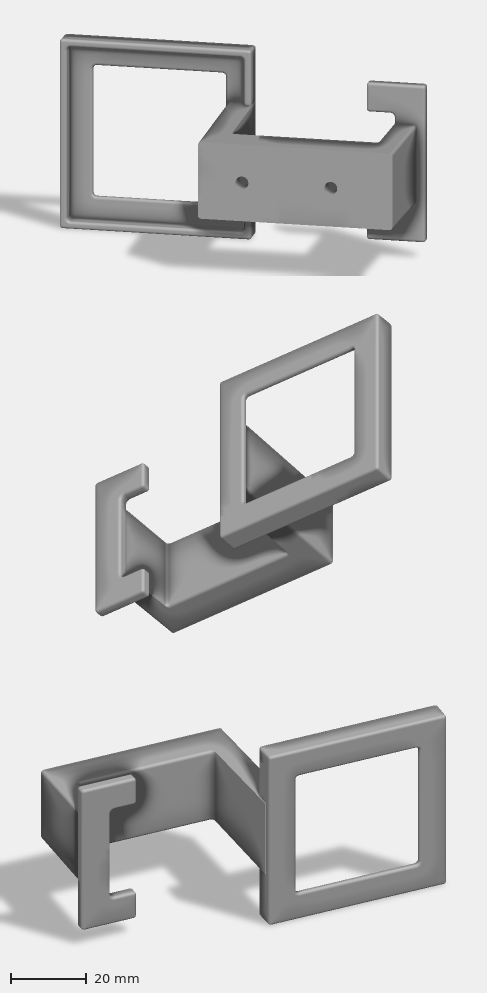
import cadquery as cq
import math

turn_angle = 14.0
edge_radius = 0.79

frame_side = 52.0
frame_depth = 6.7
frame_draft = 0.8
frame_front = 36.4
rim_wall = 2.0
recess_depth = 4.8
window_side = 36.0
opening_corner_radius = 1.1

base_depth = 10.3
arm_left_front = 45.8
arm_right_front = 98.5
pocket_left = 52.7
pocket_right = 92.7
left_draft = 1.0
right_draft = 0.4
arm_front_height = 21.0
height_draft = 0.5
arm_edge_radius = 0.8

plate_left = 85.1
plate_width = 16.0
plate_front = 28.1
plate_thickness = 3.2
plate_height = 43.0
notch_height = 27.1
notch_corner_radius = 1.3

hole_diameter = 3.5
hole_depth = 5.0
first_hole = 57.7
hole_spacing = 24.1
hole_count = 2

recess_floor = frame_front + recess_depth


def block(left, width, front, depth, height):
    """Box centred on z = 0, placed by its left and front faces."""
    box = cq.Workplane("XY").box(width, depth, height, centered=(False, False, True))
    return box.translate((left, front, 0))


def lean(length, angle):
    """Sideways shift over length of a face that leans by angle."""
    return length * math.tan(math.radians(angle))


def near(x, y):
    """Selector for the edges whose middle is close to the vertical line at x, y."""
    reach = 1.1
    return cq.selectors.BoxSelector((x - reach, y - reach, -frame_side), (x + reach, y + reach, frame_side))


def round_rim(body, left, width, front, depth, height):
    """Round the edges of a rectangular opening that lie between y = front and y = front + depth."""
    margin = 0.1
    rim = cq.selectors.BoxSelector(
        (left - margin, front - margin, -height / 2 - margin),
        (left + width + margin, front + depth + margin, height / 2 + margin),
    )
    return body.edges(rim).edges("not(|Y)").fillet(edge_radius)


def make_frame():
    """Square frame, narrowing to the back, with a front recess and a window in its floor."""
    recess_side = frame_side - 2 * rim_wall
    window_left = (frame_side - window_side) / 2
    window_depth = frame_depth - recess_depth
    front_face = cq.Workplane("XZ", origin=(frame_side / 2, frame_front, 0)).rect(frame_side, frame_side)
    body = front_face.extrude(-frame_depth, taper=frame_draft).edges().fillet(edge_radius)
    recess = block(rim_wall, recess_side, frame_front, recess_depth, recess_side)
    window = block(window_left, window_side, recess_floor, window_depth, window_side)
    body = body.cut(recess.edges("|Y").fillet(opening_corner_radius))
    body = body.cut(window.edges("|Y").fillet(opening_corner_radius))
    body = round_rim(body, rim_wall, recess_side, frame_front, 0, recess_side)
    return round_rim(body, window_left, window_side, recess_floor, window_depth, window_side)


def make_arm():
    """U of left leg, base and right leg, thinner towards the base front."""
    leg_rise = recess_floor - base_depth
    plate_rise = plate_front - base_depth
    outline = [
        (arm_left_front, 0),
        (arm_right_front, 0),
        (arm_right_front + lean(plate_front, right_draft), plate_front),
        (pocket_right + lean(plate_rise, right_draft), plate_front),
        (pocket_right, base_depth),
        (pocket_left, base_depth),
        (pocket_left - lean(leg_rise, left_draft), recess_floor),
        (arm_left_front - lean(recess_floor, left_draft), recess_floor),
    ]
    front_half = arm_front_height / 2
    back_half = front_half + lean(recess_floor, height_draft)
    side_profile = [
        (0, -front_half),
        (0, front_half),
        (recess_floor, back_half),
        (recess_floor, -back_half),
    ]
    plan = cq.Workplane("XY").polyline(outline).close().extrude(back_half, both=True)
    side = cq.Workplane("YZ").polyline(side_profile).close().extrude(arm_right_front + base_depth)
    arm = plan.intersect(side)
    arm = arm.edges(near(arm_left_front, recess_floor / 2)).fillet(arm_edge_radius)
    arm = arm.edges(near(arm_right_front, plate_front / 2)).fillet(arm_edge_radius)
    side_margin = 1.1
    floor_margin = 0.3
    pocket_floor = cq.selectors.BoxSelector(
        (pocket_left - side_margin, base_depth - floor_margin, -frame_side),
        (pocket_right + side_margin, base_depth + floor_margin, frame_side),
    )
    return arm.edges(pocket_floor).fillet(arm_edge_radius)


def make_hook_plate():
    """Plate notched from the left edge as far as the inner face of the right leg."""
    notch_width = pocket_right - plate_left
    plate = block(plate_left, plate_width, plate_front, plate_thickness, plate_height)
    notch = block(plate_left, notch_width, plate_front, plate_thickness, notch_height)
    notch = notch.edges("|Y and >X").fillet(notch_corner_radius)
    return plate.cut(notch).edges().fillet(edge_radius)


def make_holes():
    """Blind holes in the base front."""
    centers = [(first_hole + i * hole_spacing, 0) for i in range(hole_count)]
    return cq.Workplane("XZ").pushPoints(centers).circle(hole_diameter / 2).extrude(-hole_depth)


body = make_arm().union(make_frame()).union(make_hook_plate()).cut(make_holes())
result = body.rotate((0, 0, 0), (0, 0, 1), turn_angle)